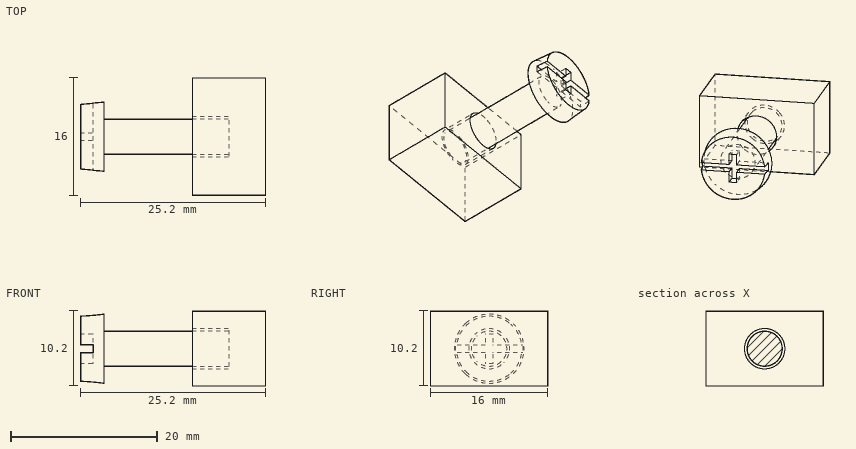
import cadquery as cq
import math

block_length = 10.0
block_width = 16.0
block_height = 10.2
clearance_diameter = 5.5
clearance_depth = block_length / 2

head_length = 3.2
head_diameter = 9.45
head_taper_angle = 5.0
shank_diameter = 4.8
shank_gap = 12.0

slot_width = 1.05
slot_depth = 1.7
cross_height = 4.0

block_start = head_length + shank_gap
shank_end = block_start + clearance_depth


def make_block():
    """Rectangular block with a blind clearance hole around the shank."""
    near_face = cq.Workplane("YZ", origin=(block_start, 0, 0))
    block = near_face.rect(block_width, block_height).extrude(block_length)
    hole = near_face.circle(clearance_diameter / 2).extrude(clearance_depth)
    return block.cut(hole)


def make_screw():
    """Tapered head and shank, revolved as one profile about the X axis."""
    back_radius = head_diameter / 2
    front_radius = back_radius - head_length * math.tan(math.radians(head_taper_angle))
    shank_radius = shank_diameter / 2
    profile = (
        cq.Workplane("XY")
        .moveTo(0, 0)
        .lineTo(0, front_radius)
        .lineTo(head_length, back_radius)
        .lineTo(head_length, shank_radius)
        .lineTo(shank_end, shank_radius)
        .lineTo(shank_end, 0)
        .close()
    )
    return profile.revolve(360, (0, 0, 0), (1, 0, 0))


def make_drive():
    """Full-width slot along Y crossed by a short slot along Z."""
    head_face = cq.Workplane("YZ")
    long_slot = head_face.rect(head_diameter, slot_width).extrude(slot_depth)
    short_slot = head_face.rect(slot_width, cross_height).extrude(slot_depth)
    return long_slot.union(short_slot)


screw = make_screw().cut(make_drive())
result = make_block().union(screw)